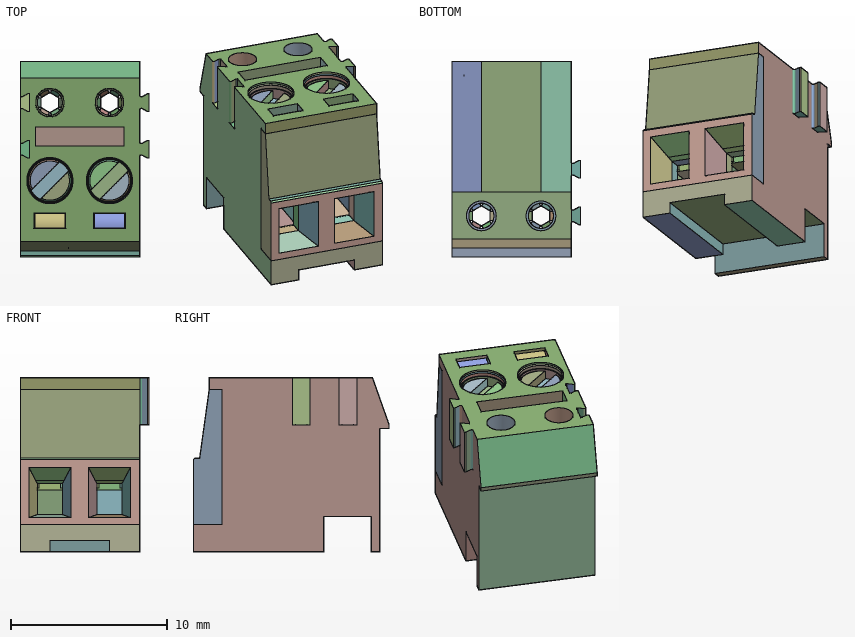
import cadquery as cq
import math


WIDTH = 7.62
LENGTH = 12.5
HEIGHT = 11.1
LATCH_DEPTH = 0.6
BACK_Y = LENGTH - LATCH_DEPTH
LATCH_BOTTOM_Z = 7.85
LATCH_LIP = 0.25
TOP_REAR_Y = 11.44
TOP_FRONT_Y = 1.01

POLE_PITCH = 3.8
FIRST_POLE_X = 1.89
POLE_XS = [FIRST_POLE_X, FIRST_POLE_X + POLE_PITCH]
MIDDLE_X = sum(POLE_XS) / len(POLE_XS)

PLATE_DEPTH = 1.82
PLATE_BOTTOM_Z = 1.72
PLATE_TOP_Z = 10.36
LEDGE_Z = 5.98
LEDGE_BACK_Y = 0.4
LEDGE_CHAMFER = 0.1

BAY_FRONT_Y = 8.34
BAY_BACK_Y = 11.34
BAY_HEIGHT = 2.24
UNDER_SLOT_HEIGHT = 0.71

ENTRY_WIDTH = 2.68
ENTRY_BOTTOM_Z = 2.18
ENTRY_TOP_Z = 5.38
THROAT_WIDTH = 1.6
THROAT_BOTTOM_Z = 2.38
THROAT_TOP_Z = 4.35
FUNNEL_DEPTH = 2.12
SLEEVE_WALL = 0.2

CAGE_FRONT_Y = 3.0
CAGE_WIDTH = 3.0
CAGE_BOTTOM_Z = 1.94
CAGE_TOP_Z = 5.5
CAGE_OPENING_WIDTH = 2.0
CAGE_OPENING_BOTTOM_Z = 2.31
CAGE_OPENING_TOP_Z = 3.95
JAW_NECK_WIDTH = 1.36
JAW_SHOULDER_Z = 4.06
JAW_RELIEF = 0.12

SCREW_Y = 4.89
SCREW_DIAMETER = 2.7
SCREW_TOP_DIAMETER = 2.5
SCREW_TOP_Z = HEIGHT - 0.5
SCREW_SLOT_WIDTH = 0.82
SCREW_SLOT_DEPTH = 0.62
SCREW_SLOT_ANGLE = 45.0
WELL_MOUTH_DIAMETER = 2.95
WELL_MOUTH_DEPTH = 0.12
WELL_DIAMETER = 2.82
WELL_CONE_DEPTH = 0.2
WELL_DEPTH = 0.42
CAGE_LENGTH = 2 * (SCREW_Y - CAGE_FRONT_Y)

SOCKET_Y = 9.86
SOCKET_HOLE_DIAMETER = 1.8
SOCKET_DIAMETER = 1.9
SOCKET_MOUTH_DIAMETER = 1.8
SOCKET_BORE_DIAMETER = 1.6
SOCKET_TOP_Z = 8.75
TONGUE_COUNT = 6
TONGUE_WIDTH = 0.6
TONGUE_START_SLOPE = 65.0
TONGUE_END_SLOPE = 83.0
TONGUE_GAP = 1.1

MARKER_WIDTH = 5.64
MARKER_FRONT_Y = 7.09
MARKER_BACK_Y = 8.3
MARKER_DEPTH = 2.5
WINDOW_WIDTH = 2.02
WINDOW_FRONT_Y = PLATE_DEPTH
WINDOW_BACK_Y = 2.84
WINDOW_DEPTH = 1.12
PAD_CLEARANCE = 0.05
PAD_TOP_Z = HEIGHT - 0.18
PAD_RADIUS = 1.12

DOVETAIL_YS = [SOCKET_Y, 6.89]
DOVETAIL_DEPTH = 0.6
DOVETAIL_HEIGHT = 3.0
DOVETAIL_ROOT = 0.61
DOVETAIL_TIP = 1.14
DOVETAIL_SHOULDER = 0.11
DOVETAIL_FILLET = 0.1


def block(x_center, width, y_front, y_back, z_bottom, z_top):
    """A box centred on x_center with the given limits in Y and Z."""
    size = (width, y_back - y_front, z_top - z_bottom)
    corner = (x_center, y_front, z_bottom)
    return cq.Workplane("XY", origin=corner).box(*size, centered=(True, False, False))


def cylinder(x, y, diameter, z_bottom, z_top):
    """A vertical cylinder."""
    return cq.Workplane("XY", origin=(x, y, z_bottom)).circle(diameter / 2).extrude(z_top - z_bottom)


def side_profile(points):
    """Extrude a (y, z) outline across the full width of the block."""
    return cq.Workplane("YZ").polyline(points).close().extrude(WIDTH)


def plate_blank():
    return side_profile([
        (0, PLATE_BOTTOM_Z),
        (0, LEDGE_Z - LEDGE_CHAMFER),
        (LEDGE_CHAMFER, LEDGE_Z),
        (LEDGE_BACK_Y, LEDGE_Z),
        (TOP_FRONT_Y, PLATE_TOP_Z),
        (PLATE_DEPTH, PLATE_TOP_Z),
        (PLATE_DEPTH, PLATE_BOTTOM_Z),
    ])


def housing_blank():
    return side_profile([
        (0, 0),
        (0, PLATE_BOTTOM_Z),
        (PLATE_DEPTH, PLATE_BOTTOM_Z),
        (PLATE_DEPTH, PLATE_TOP_Z),
        (TOP_FRONT_Y, PLATE_TOP_Z),
        (TOP_FRONT_Y, HEIGHT),
        (TOP_REAR_Y, HEIGHT),
        (LENGTH, LATCH_BOTTOM_Z + LATCH_LIP),
        (LENGTH, LATCH_BOTTOM_Z),
        (BACK_Y, LATCH_BOTTOM_Z),
        (BACK_Y, 0),
        (BAY_BACK_Y, 0),
        (BAY_BACK_Y, BAY_HEIGHT),
        (BAY_FRONT_Y, BAY_HEIGHT),
        (BAY_FRONT_Y, 0),
    ])


def funnel(x):
    """Tapered wire entry."""
    entry_z = (ENTRY_BOTTOM_Z + ENTRY_TOP_Z) / 2
    throat_z = (THROAT_BOTTOM_Z + THROAT_TOP_Z) / 2
    return (
        cq.Workplane("XZ", origin=(x, 0, entry_z))
        .rect(ENTRY_WIDTH, ENTRY_TOP_Z - ENTRY_BOTTOM_Z)
        .workplane(offset=-FUNNEL_DEPTH)
        .center(0, throat_z - entry_z)
        .rect(THROAT_WIDTH, THROAT_TOP_Z - THROAT_BOTTOM_Z)
        .loft(ruled=True)
    )


def sleeve(x):
    """Block behind the front plate that carries the inner end of the funnel."""
    width = THROAT_WIDTH + 2 * SLEEVE_WALL
    bottom_z = THROAT_BOTTOM_Z - SLEEVE_WALL
    return block(x, width, PLATE_DEPTH, FUNNEL_DEPTH, bottom_z, THROAT_TOP_Z + SLEEVE_WALL)


def throat(x):
    """Straight passage from the funnel to the clamp cage."""
    return block(x, THROAT_WIDTH, FUNNEL_DEPTH, CAGE_FRONT_Y, THROAT_BOTTOM_Z, THROAT_TOP_Z)


def screw_well(x):
    """Stepped round well from the top face down to the clamp cage."""
    profile = [
        (0, CAGE_TOP_Z),
        (SCREW_DIAMETER / 2, CAGE_TOP_Z),
        (SCREW_DIAMETER / 2, HEIGHT - WELL_DEPTH),
        (WELL_DIAMETER / 2, HEIGHT - WELL_DEPTH),
        (WELL_DIAMETER / 2, HEIGHT - WELL_CONE_DEPTH),
        (WELL_MOUTH_DIAMETER / 2, HEIGHT - WELL_MOUTH_DEPTH),
        (WELL_MOUTH_DIAMETER / 2, HEIGHT),
        (0, HEIGHT),
    ]
    return cq.Workplane("XZ").polyline(profile).close().revolve().translate((x, SCREW_Y, 0))


def socket_hole(x):
    """Through hole from the top into the rear bay, wider where the socket sits."""
    seat = cylinder(x, SOCKET_Y, SOCKET_DIAMETER, BAY_HEIGHT, SOCKET_TOP_Z)
    return seat.union(cylinder(x, SOCKET_Y, SOCKET_HOLE_DIAMETER, SOCKET_TOP_Z, HEIGHT))


def window_pad(x):
    """Pad standing in the window: its top is level at the front and curves down towards the back."""
    width = WINDOW_WIDTH - 2 * PAD_CLEARANCE
    front_y = WINDOW_FRONT_Y + PAD_CLEARANCE
    back_y = WINDOW_BACK_Y - PAD_CLEARANCE
    bottom_z = HEIGHT - WINDOW_DEPTH
    back_angle = math.asin((back_y - front_y) / PAD_RADIUS)

    def top_point(angle):
        return (front_y + PAD_RADIUS * math.sin(angle), PAD_TOP_Z - PAD_RADIUS * (1 - math.cos(angle)))

    return (
        cq.Workplane("YZ", origin=(x - width / 2, 0, 0))
        .moveTo(front_y, bottom_z)
        .lineTo(*top_point(0))
        .threePointArc(top_point(back_angle / 2), top_point(back_angle))
        .lineTo(back_y, bottom_z)
        .close()
        .extrude(width)
    )


def top_window(x):
    """Rectangular pocket in the top face around the pad."""
    pocket = block(x, WINDOW_WIDTH, WINDOW_FRONT_Y, WINDOW_BACK_Y, HEIGHT - WINDOW_DEPTH, HEIGHT)
    return pocket.cut(window_pad(x))


def dovetail(x_root, y):
    """Upright dovetail bar that widens towards +X, to a parallel-sided tip."""
    x_tip = x_root + DOVETAIL_DEPTH
    x_shoulder = x_tip - DOVETAIL_SHOULDER
    return (
        cq.Workplane("XY", origin=(0, y, HEIGHT - DOVETAIL_HEIGHT))
        .polyline([
            (x_root, -DOVETAIL_ROOT / 2),
            (x_shoulder, -DOVETAIL_TIP / 2),
            (x_tip, -DOVETAIL_TIP / 2),
            (x_tip, DOVETAIL_TIP / 2),
            (x_shoulder, DOVETAIL_TIP / 2),
            (x_root, DOVETAIL_ROOT / 2),
        ])
        .close()
        .extrude(DOVETAIL_HEIGHT)
    )


def dovetail_root_edges(x, y):
    """Selector for the two upright edges where a dovetail meets the side face at x."""
    reach = DOVETAIL_ROOT / 2 + DOVETAIL_FILLET
    margin = DOVETAIL_FILLET / 2
    low = (x - margin, y - reach, HEIGHT - DOVETAIL_HEIGHT + margin)
    high = (x + margin, y + reach, HEIGHT - margin)
    return cq.selectors.BoxSelector(low, high)


def make_front_plate():
    plate = plate_blank()
    for x in POLE_XS:
        plate = plate.union(sleeve(x)).cut(funnel(x))
    return plate


def make_housing():
    housing = housing_blank()
    for y in DOVETAIL_YS:
        housing = housing.cut(dovetail(0, y)).union(dovetail(WIDTH, y))
        for x_side in (0, WIDTH):
            housing = housing.edges(dovetail_root_edges(x_side, y)).edges("|Z").fillet(DOVETAIL_FILLET)
    for x in POLE_XS:
        housing = housing.cut(cage_envelope(x))
        for cavity in (sleeve(x), throat(x), screw_well(x), socket_hole(x), top_window(x)):
            housing = housing.cut(cavity)
    marker_recess = block(
        MIDDLE_X, MARKER_WIDTH, MARKER_FRONT_Y, MARKER_BACK_Y, HEIGHT - MARKER_DEPTH, HEIGHT
    )
    under_slot = block(MIDDLE_X, POLE_PITCH, 0, BAY_FRONT_Y, 0, UNDER_SLOT_HEIGHT)
    return housing.cut(marker_recess).cut(under_slot)


def cage_envelope(x):
    return block(x, CAGE_WIDTH, CAGE_FRONT_Y, CAGE_FRONT_Y + CAGE_LENGTH, CAGE_BOTTOM_Z, CAGE_TOP_Z)


def make_cage(x):
    """Box with a wire opening along Y and a jaw above it that narrows to a neck."""
    back_y = CAGE_FRONT_Y + CAGE_LENGTH
    opening = block(x, CAGE_OPENING_WIDTH, CAGE_FRONT_Y, back_y, CAGE_OPENING_BOTTOM_Z, CAGE_OPENING_TOP_Z)
    relief_back = CAGE_FRONT_Y + JAW_RELIEF
    relief = block(x, CAGE_OPENING_WIDTH, CAGE_FRONT_Y, relief_back, JAW_SHOULDER_Z, CAGE_TOP_Z)
    neck = block(x, JAW_NECK_WIDTH, CAGE_FRONT_Y, relief_back, JAW_SHOULDER_Z, CAGE_TOP_Z)
    return cage_envelope(x).cut(opening).cut(relief.cut(neck))


def make_screw(x):
    """Slotted cylinder with a chamfered top edge, standing on the cage."""
    chamfer = (SCREW_DIAMETER - SCREW_TOP_DIAMETER) / 2
    screw = cylinder(x, SCREW_Y, SCREW_DIAMETER, CAGE_TOP_Z, SCREW_TOP_Z).faces(">Z").chamfer(chamfer)
    slot = (
        cq.Workplane("XY", origin=(x, SCREW_Y, SCREW_TOP_Z - SCREW_SLOT_DEPTH))
        .transformed(rotate=(0, 0, SCREW_SLOT_ANGLE))
        .rect(2 * SCREW_DIAMETER, SCREW_SLOT_WIDTH)
        .extrude(SCREW_SLOT_DEPTH)
    )
    return screw.cut(slot)


def make_tongue():
    """Spring tongue on the +X side of the Z axis: it curves down and inward from the mouth."""
    mouth = SOCKET_MOUTH_DIAMETER / 2
    tip = TONGUE_GAP / 2
    start = math.radians(TONGUE_START_SLOPE)
    end = math.radians(TONGUE_END_SLOPE)
    radius = (mouth - tip) / (math.sin(end) - math.sin(start))

    def bend_point(angle):
        x = mouth - radius * (math.sin(angle) - math.sin(start))
        return (x, SOCKET_TOP_Z - radius * (math.cos(start) - math.cos(angle)))

    tip_z = bend_point(end)[1]
    return (
        cq.Workplane("XZ")
        .moveTo(mouth, SOCKET_TOP_Z)
        .threePointArc(bend_point((start + end) / 2), (tip, tip_z))
        .lineTo(mouth, tip_z)
        .close()
        .extrude(TONGUE_WIDTH / 2, both=True)
    )


def make_socket(x):
    """Tube with a rounded mouth and a ring of spring tongues inside."""
    mouth_round = (SOCKET_MOUTH_DIAMETER - SOCKET_BORE_DIAMETER) / 2
    socket = (
        cylinder(0, 0, SOCKET_DIAMETER, BAY_HEIGHT, SOCKET_TOP_Z)
        .cut(cylinder(0, 0, SOCKET_BORE_DIAMETER, BAY_HEIGHT, SOCKET_TOP_Z))
        .faces(">Z")
        .edges(cq.selectors.RadiusNthSelector(0))
        .fillet(mouth_round)
    )
    for index in range(TONGUE_COUNT):
        socket = socket.union(make_tongue().rotate((0, 0, 0), (0, 0, 1), index * 360 / TONGUE_COUNT))
    return socket.translate((x, SOCKET_Y, 0))


housing = make_housing()
front_plate = make_front_plate()
bodies = [housing.solids().val(), front_plate.solids().val()]
for make_body in (make_cage, make_screw, make_socket):
    for pole_x in POLE_XS:
        bodies.append(make_body(pole_x).solids().val())

result = cq.Compound.makeCompound(bodies)